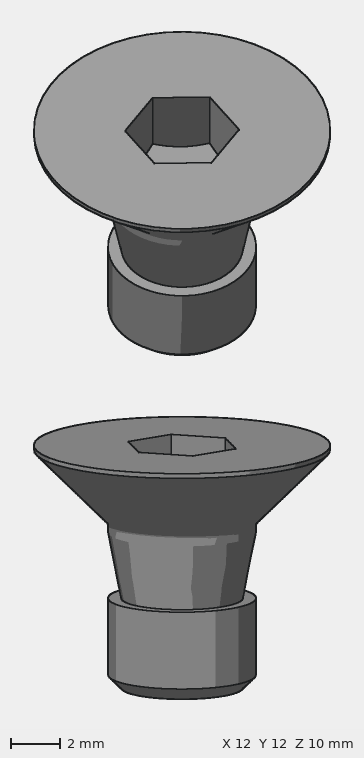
import cadquery as cq
import math

total_height = 10.0
head_radius = 6.0
shank_radius = 3.0
root_radius = 2.47
rim_height = 0.19
under_head_fillet = 0.25
collar_end_depth = 3.59
neck_end_depth = 6.3

socket_across_flats = 4.0
socket_depth = 2.5
drill_point_angle = 120.0


def screw_body():
    """Revolved head, collar, tapered neck and chamfered shank."""
    cone_end_depth = rim_height + head_radius - shank_radius
    tip_chamfer = shank_radius - root_radius

    tangent_length = under_head_fillet * math.tan(math.radians(22.5))
    cone_offset = tangent_length * math.sin(math.radians(45))
    arc_center_radius = shank_radius + under_head_fillet
    arc_end_z = total_height - cone_end_depth - tangent_length
    arc_start = (shank_radius + cone_offset, total_height - cone_end_depth + cone_offset)
    arc_middle = (
        arc_center_radius - under_head_fillet * math.cos(math.radians(22.5)),
        arc_end_z + under_head_fillet * math.sin(math.radians(22.5)),
    )
    neck_end_z = total_height - neck_end_depth

    profile = (
        cq.Workplane("XZ")
        .moveTo(0, total_height)
        .lineTo(head_radius, total_height)
        .lineTo(head_radius, total_height - rim_height)
        .lineTo(*arc_start)
        .threePointArc(arc_middle, (shank_radius, arc_end_z))
        .lineTo(shank_radius, total_height - collar_end_depth)
        .lineTo(root_radius, neck_end_z)
        .lineTo(shank_radius, neck_end_z)
        .lineTo(shank_radius, tip_chamfer)
        .lineTo(root_radius, 0)
        .lineTo(0, 0)
        .close()
    )
    return profile.revolve(360, (0, 0, 0), (0, 1, 0))


def hex_socket():
    """Hexagonal recess with corners on X and a conical drill-point floor."""
    across_corners = socket_across_flats / math.cos(math.radians(30))
    floor_radius = across_corners / 2
    point_depth = floor_radius / math.tan(math.radians(drill_point_angle / 2))
    hexagon = (
        cq.Workplane("XY")
        .workplane(offset=total_height)
        .polygon(6, across_corners)
        .extrude(-socket_depth - point_depth)
    )
    floor_z = total_height - socket_depth
    pointed_bar = (
        cq.Workplane("XZ")
        .moveTo(0, total_height)
        .lineTo(floor_radius, total_height)
        .lineTo(floor_radius, floor_z)
        .lineTo(0, floor_z - point_depth)
        .close()
        .revolve(360, (0, 0, 0), (0, 1, 0))
    )
    return hexagon.intersect(pointed_bar)


result = screw_body().cut(hex_socket())